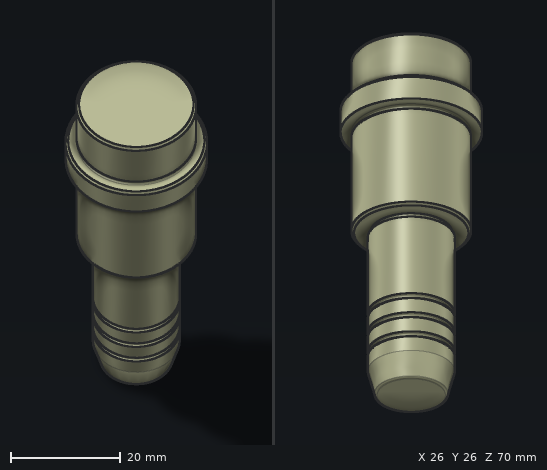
import cadquery as cq
import math

total_height = 70.0
head_radius = 11.0
collar_radius = 13.0
stem_radius = 8.0
neck_radius = 7.5

collar_top = 60.0
collar_bottom = 55.0
body_bottom = 34.0
neck_bottom = 33.0
tip_height = 5.0
tip_half_angle = 15.0
foot_fillet = 0.5

chamfer = 0.5
groove_radius = 0.5
stem_groove_count = 3
stem_groove_pitch = 4.0
lowest_stem_groove = 8.5


def cylinder(bottom, top, radius):
    """Cylinder on the Z axis between two heights."""
    return cq.Workplane("XY").workplane(offset=bottom).circle(radius).extrude(top - bottom)


def groove_ring(centre_height, surface_radius):
    """Half-round ring to cut away, lying just inside a cylinder's surface."""
    return (
        cq.Workplane("XZ")
        .moveTo(surface_radius, centre_height + groove_radius)
        .threePointArc(
            (surface_radius - groove_radius, centre_height),
            (surface_radius, centre_height - groove_radius),
        )
        .close()
        .revolve(360, (0, 0, 0), (0, 1, 0))
    )


def make_head():
    """Head and body as one cylinder, chamfered at both ends, grooved next to the collar."""
    head = cylinder(body_bottom, total_height, head_radius).edges().chamfer(chamfer)
    for centre_height in (collar_top + groove_radius, collar_bottom - groove_radius):
        head = head.cut(groove_ring(centre_height, head_radius))
    return head


def make_collar():
    """Collar with its upper rim chamfered and its lower rim sharp."""
    collar = cylinder(collar_bottom, collar_top, collar_radius)
    return collar.faces(">Z").edges().chamfer(chamfer)


def make_stem():
    """Stem with a tapered tip, rounded at the foot, and evenly spaced grooves."""
    foot_radius = stem_radius - tip_height * math.tan(math.radians(tip_half_angle))
    stem = (
        cq.Workplane("XZ")
        .moveTo(0, 0)
        .lineTo(foot_radius, 0)
        .lineTo(stem_radius, tip_height)
        .lineTo(stem_radius, neck_bottom)
        .lineTo(0, neck_bottom)
        .close()
        .revolve(360, (0, 0, 0), (0, 1, 0))
    )
    stem = stem.faces("<Z").edges().fillet(foot_fillet)
    for index in range(stem_groove_count):
        centre_height = lowest_stem_groove + index * stem_groove_pitch
        stem = stem.cut(groove_ring(centre_height, stem_radius))
    return stem


neck = cylinder(neck_bottom, body_bottom, neck_radius)
result = make_stem().union(neck).union(make_head()).union(make_collar())